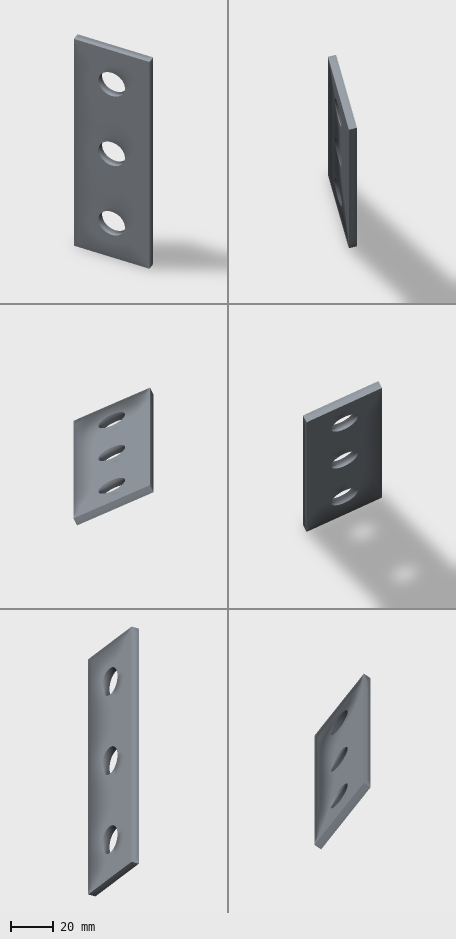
import cadquery as cq

width = 40.0
thickness = 4.0
height = 125.0
hole_diameter = 14.0
hole_pitch = 42.0
hole_count = 3

plate = cq.Workplane("XY").box(width, thickness, height)

result = (
    plate.faces("<Y")
    .workplane(centerOption="CenterOfBoundBox")
    .rarray(1.2, hole_pitch, 1, hole_count)
    .hole(hole_diameter)
)